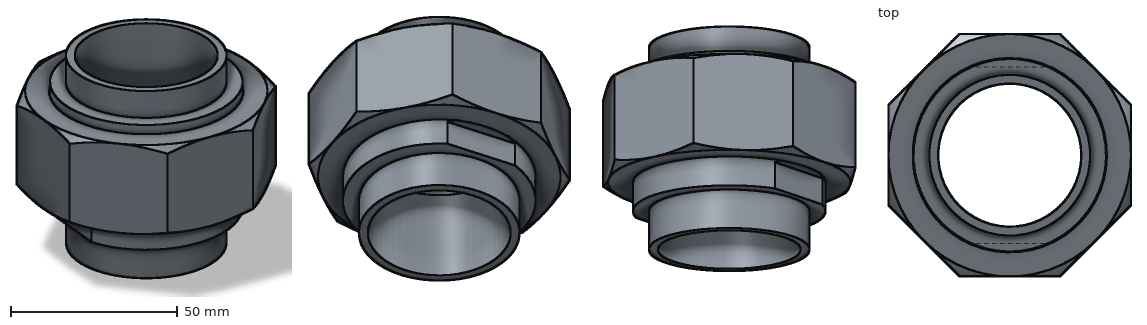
import cadquery as cq
import math


union_height = 63.0
body_shoulder_z = 12.0
nut_bottom_z = 21.0
nut_height = 30.0
nut_top_z = nut_bottom_z + nut_height
tail_shoulder_z = nut_top_z + 3.0
seam_z = 30.0

bore_diameter = 43.0
pipe_diameter = 48.4
collar_diameter = 58.0

flats_width = 53.2
flats_top_z = 20.2

nut_sides = 8
nut_width = 73.0
nut_corner_diameter = nut_width / math.cos(math.pi / nut_sides)
tail_hole_diameter = collar_diameter + 0.5
nut_chamfer_angle = math.radians(30)


def pipe_with_collar(pipe_end_z, shoulder_z):
    """Bored pipe end with a wider collar that runs from its shoulder to the seam."""
    bore_radius = bore_diameter / 2
    pipe_radius = pipe_diameter / 2
    collar_radius = collar_diameter / 2
    half_section = [
        (bore_radius, pipe_end_z),
        (pipe_radius, pipe_end_z),
        (pipe_radius, shoulder_z),
        (collar_radius, shoulder_z),
        (collar_radius, seam_z),
        (bore_radius, seam_z),
    ]
    return cq.Workplane("XZ").polyline(half_section).close().revolve(360, (0, 0, 0), (0, 1, 0))


def wrench_flat_cutter(side):
    """Material outside one flat; side is -1 for the -Y flat and +1 for the +Y flat."""
    flat_y = flats_width / 2
    outer_y = collar_diameter / 2 + 1.0
    ramp_rise = outer_y - flat_y
    profile = [
        (side * flat_y, body_shoulder_z),
        (side * outer_y, body_shoulder_z),
        (side * outer_y, flats_top_z + ramp_rise),
        (side * flat_y, flats_top_z),
    ]
    return cq.Workplane("YZ").polyline(profile).close().extrude(collar_diameter / 2, both=True)


def make_body():
    """Lower half of the union, with two opposite wrench flats on its collar."""
    body = pipe_with_collar(0, body_shoulder_z)
    for side in (-1, 1):
        body = body.cut(wrench_flat_cutter(side))
    return body


def make_tail():
    """Upper half of the union, with a plain collar."""
    return pipe_with_collar(union_height, tail_shoulder_z)


def make_nut():
    """Octagonal nut with coned ends, fitted to the body collar and clear of the tail collar."""
    octagon = (
        cq.Workplane("XY")
        .workplane(offset=nut_bottom_z)
        .transformed(rotate=(0, 0, 180 / nut_sides))
        .polygon(nut_sides, nut_corner_diameter)
        .circle(collar_diameter / 2)
        .extrude(nut_height)
    )
    tail_hole = (
        cq.Workplane("XY")
        .workplane(offset=seam_z)
        .circle(tail_hole_diameter / 2)
        .extrude(nut_top_z - seam_z)
    )
    face_radius = nut_width / 2
    corner_radius = nut_corner_diameter / 2 + 1.0
    cone_height = (corner_radius - face_radius) * math.tan(nut_chamfer_angle)
    half_section = [
        (0, nut_bottom_z),
        (face_radius, nut_bottom_z),
        (corner_radius, nut_bottom_z + cone_height),
        (corner_radius, nut_top_z - cone_height),
        (face_radius, nut_top_z),
        (0, nut_top_z),
    ]
    envelope = cq.Workplane("XZ").polyline(half_section).close().revolve(360, (0, 0, 0), (0, 1, 0))
    return octagon.intersect(envelope).cut(tail_hole)


body = make_body()
tail = make_tail()
nut = make_nut()

result = cq.Compound.makeCompound([*body.solids().vals(), *tail.solids().vals(), *nut.solids().vals()])